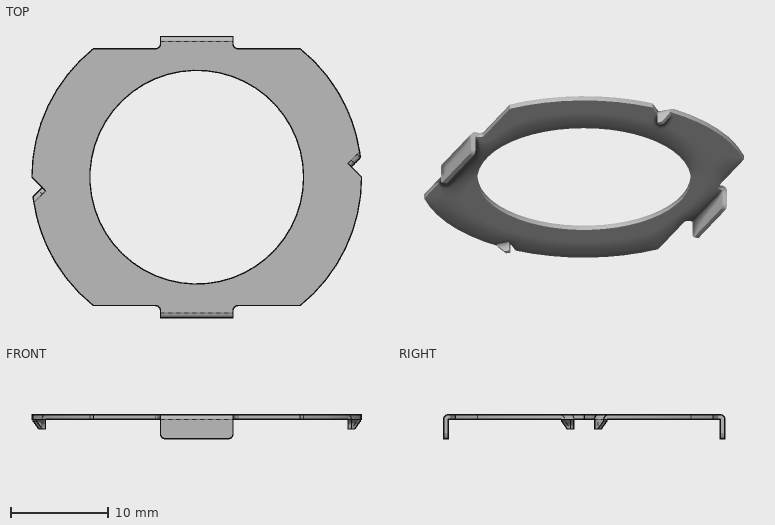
import cadquery as cq
import math

THICKNESS = 0.5
RIM_RADIUS = 17.0
BORE_RADIUS = 11.0
FLAT_DISTANCE = 13.25

TAB_WIDTH = 7.5
TAB_REACH = 14.5
TAB_DEPTH = 2.5
TAB_CORNER_RADIUS = 0.5
NECK_FILLET = 0.5

NOTCH_LEG = 2.0
NOTCH_ANGLE = 45.0
PRONG_DEPTH = 1.5
PRONG_SLOPE = 45.0
PRONG_SHOULDER = 0.15


def ring_plate():
    """Flat ring with two straight sides parallel to X."""
    blank = cq.Workplane("XY").circle(RIM_RADIUS).extrude(-THICKNESS)
    sides = cq.Workplane("XY").rect(2 * RIM_RADIUS, 2 * FLAT_DISTANCE).extrude(-THICKNESS)
    bore = cq.Workplane("XY").circle(BORE_RADIUS).extrude(-THICKNESS)
    return blank.intersect(sides).cut(bore)


def bent_leg(workplane, depth, length):
    """Downward leg with a rounded outer bend: local x is outward, local y is up."""
    return (
        workplane.moveTo(0, 0)
        .lineTo(0, -depth)
        .lineTo(THICKNESS, -depth)
        .lineTo(THICKNESS, -THICKNESS)
        .radiusArc((0, 0), -THICKNESS)
        .close()
        .extrude(length)
    )


def tab():
    """Tab on the +Y flat: a filleted neck in the plate plane and a leg bent down."""
    half_width = TAB_WIDTH / 2
    bend_start = TAB_REACH - THICKNESS
    root_half_width = half_width + NECK_FILLET
    fillet_end = FLAT_DISTANCE + NECK_FILLET
    neck_root = FLAT_DISTANCE - THICKNESS
    neck = (
        cq.Workplane("XY")
        .moveTo(-root_half_width, neck_root)
        .lineTo(-root_half_width, FLAT_DISTANCE)
        .radiusArc((-half_width, fillet_end), -NECK_FILLET)
        .lineTo(-half_width, bend_start)
        .lineTo(half_width, bend_start)
        .lineTo(half_width, fillet_end)
        .radiusArc((root_half_width, FLAT_DISTANCE), -NECK_FILLET)
        .lineTo(root_half_width, neck_root)
        .close()
        .extrude(-THICKNESS)
    )
    leg_plane = cq.Workplane("YZ", origin=(-half_width, bend_start, 0))
    leg = bent_leg(leg_plane, TAB_DEPTH, TAB_WIDTH)
    leg = leg.faces("<Z").edges("|Y").fillet(TAB_CORNER_RADIUS)
    return neck.union(leg)


COS_NOTCH = math.cos(math.radians(NOTCH_ANGLE))
SIN_NOTCH = math.sin(math.radians(NOTCH_ANGLE))
APEX = (-RIM_RADIUS + NOTCH_LEG * COS_NOTCH, -NOTCH_LEG * SIN_NOTCH, 0)
FOLD_DIRECTION = (-SIN_NOTCH, -COS_NOTCH, 0)
OUTWARD_DIRECTION = (-COS_NOTCH, SIN_NOTCH, 0)


def notch():
    """Square cutter with one corner at the apex, reaching beyond the rim."""
    plane = cq.Plane(origin=APEX, xDir=OUTWARD_DIRECTION, normal=(0, 0, 1))
    side = 2 * NOTCH_LEG
    return cq.Workplane(plane).rect(side, side, centered=False).extrude(-THICKNESS)


def prong():
    """Folded notch flap: the bend ends flush with the rim, the edge below slopes inward."""
    leg_normal = tuple(-component for component in FOLD_DIRECTION)
    leg_plane = cq.Plane(origin=APEX, xDir=OUTWARD_DIRECTION, normal=leg_normal)
    leg = bent_leg(cq.Workplane(leg_plane), PRONG_DEPTH, -NOTCH_LEG)
    rim = cq.Workplane("XY").circle(RIM_RADIUS).extrude(-PRONG_DEPTH)

    center_to_apex_along_fold = RIM_RADIUS * SIN_NOTCH
    center_to_outer_face = RIM_RADIUS * COS_NOTCH - NOTCH_LEG + THICKNESS
    top_length = math.sqrt(RIM_RADIUS**2 - center_to_outer_face**2) - center_to_apex_along_fold
    slope_top = THICKNESS + PRONG_SHOULDER
    slope_run = (PRONG_DEPTH - slope_top) / math.tan(math.radians(PRONG_SLOPE))
    flap_plane = cq.Plane(origin=APEX, xDir=FOLD_DIRECTION, normal=OUTWARD_DIRECTION)
    flap_outline = (
        cq.Workplane(flap_plane)
        .moveTo(0, 0)
        .lineTo(0, -PRONG_DEPTH)
        .lineTo(top_length - slope_run, -PRONG_DEPTH)
        .lineTo(top_length, -slope_top)
        .lineTo(top_length, -THICKNESS)
        .lineTo(NOTCH_LEG, -THICKNESS)
        .lineTo(NOTCH_LEG, 0)
        .close()
        .extrude(THICKNESS)
    )
    return leg.intersect(rim).intersect(flap_outline)


result = ring_plate()
for turn in (0, 180):
    about_z = ((0, 0, 0), (0, 0, 1), turn)
    result = result.cut(notch().rotate(*about_z))
    result = result.union(prong().rotate(*about_z))
    result = result.union(tab().rotate(*about_z))